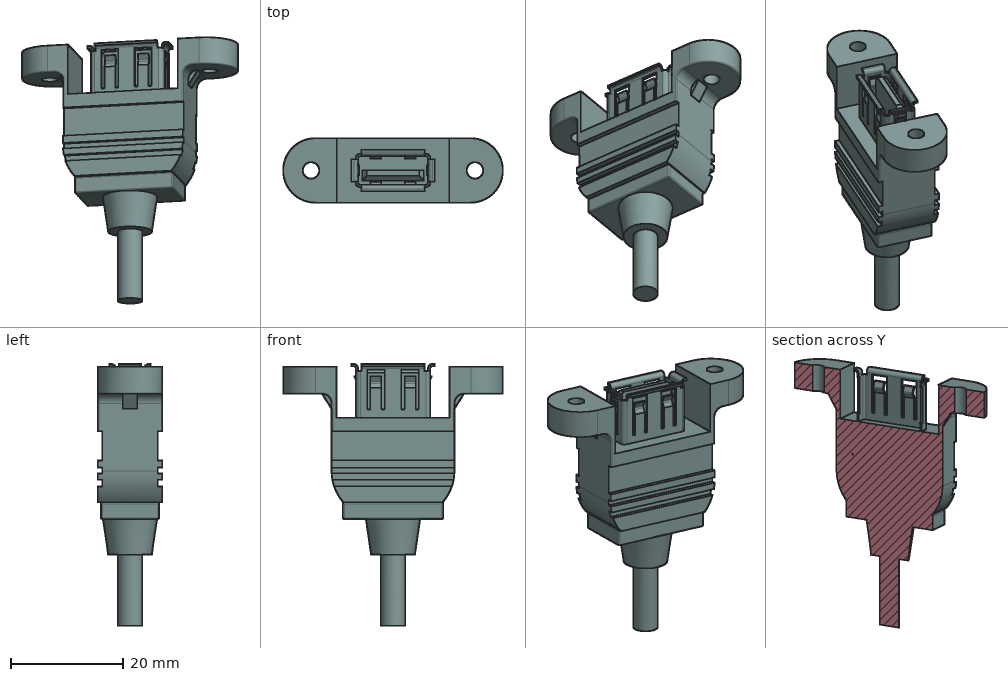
import cadquery as cq
import math


TOTAL_HEIGHT = 46.6
EAR_TOP_Z = 46.1
EAR_BOTTOM_Z = 41.25
SADDLE_Z = 37.05
BRACKET_BOTTOM_Z = 34.6
TAPER_START_Z = 27.58
BODY_BOTTOM_Z = 22.0
BLOCK_BOTTOM_Z = 19.0
BOOT_BOTTOM_Z = 12.65

OVERALL_LENGTH = 39.15
DEPTH = 11.5
NECK_HALF_WIDTH = 10.95
SADDLE_HALF_WIDTH = 10.0
NECK_FILLET = 1.7
EDGE_ROUND = 0.2
MOUNT_HOLE_X = 14.6
MOUNT_HOLE_DIAMETER = 2.9
GUSSET_WIDTH = 2.55
GUSSET_DROP = 2.65

WAIST_DEPTH = 9.9
BODY_END_HALF_WIDTH = 8.85
GRIP_RIBS = [(28.15, 29.45), (25.95, 27.1), (BODY_BOTTOM_Z, 24.85)]
BLOCK_WIDTH = 17.9
BLOCK_DEPTH = 10.35
BLOCK_ROUND = 0.25
BOOT_TOP_RADIUS = 4.85
BOOT_BOTTOM_RADIUS = 3.9
CABLE_RADIUS = 2.2

SHELL_LENGTH = 13.28
SHELL_DEPTH = 5.9
SHELL_WALL = 0.4
SHELL_CORNER = 0.8
SHELL_TOP_Z = 45.35
LIP_BEND = 0.75
LIP_FLAT = 0.4
LONG_LIP_WIDTH = 11.25
SHORT_LIP_WIDTH = 4.0

SLOT_BOTTOM_Z = 38.45
WINDOW_TOP_Z = 45.5
SIDE_WINDOW_TOP_Z = 45.2
SPRING_BEND_Z = 42.35
SPRING_APEX_Z = 43.3
SPRING_TIP_Z = 44.45
SPRING_KINK_ROUND = 0.4
LONG_SPRING_X = 3.05
LONG_SPRING_WIDTH = 1.95
LONG_SPRING_IN = 0.55
LONG_SPRING_OUT = 0.0
LONG_SLOT = 0.55
SHORT_SPRING_WIDTH = 1.75
SHORT_SPRING_IN = 0.25
SHORT_SPRING_OUT = 0.3
SHORT_SLOT = 0.3

TONGUE_LENGTH = 10.9
TONGUE_BACK_Y = 0.05
TONGUE_DEPTH = 1.9
TONGUE_TOP_Z = 45.85
TONGUE_END_BEVEL = 0.8
TONGUE_FRONT_BEVEL = 0.95
TONGUE_BEVEL_HEIGHT = 0.85


def box(length, depth, bottom, top, x=0.0, y=0.0):
    """Upright box centred on (x, y) between two heights."""
    return (
        cq.Workplane("XY")
        .box(length, depth, top - bottom, centered=(True, True, False))
        .translate((x, y, bottom))
    )


def along_y(outline, width):
    """Extrude an XZ outline symmetrically about Y = 0."""
    return outline.extrude(width / 2, both=True)


def make_bracket():
    past_ear = OVERALL_LENGTH
    arc_x = NECK_HALF_WIDTH + NECK_FILLET
    arc_z = EAR_BOTTOM_Z - NECK_FILLET
    arc_mid = NECK_FILLET * math.sqrt(0.5)
    half = along_y(
        cq.Workplane("XZ")
        .moveTo(0, BRACKET_BOTTOM_Z)
        .lineTo(NECK_HALF_WIDTH, BRACKET_BOTTOM_Z)
        .lineTo(NECK_HALF_WIDTH, arc_z)
        .threePointArc((arc_x - arc_mid, arc_z + arc_mid), (arc_x, EAR_BOTTOM_Z))
        .lineTo(past_ear, EAR_BOTTOM_Z)
        .lineTo(past_ear, EAR_TOP_Z)
        .lineTo(SADDLE_HALF_WIDTH, EAR_TOP_Z)
        .lineTo(SADDLE_HALF_WIDTH, SADDLE_Z)
        .lineTo(0, SADDLE_Z)
        .close(),
        DEPTH,
    )
    plan = (
        cq.Workplane("XY", origin=(0, 0, BRACKET_BOTTOM_Z))
        .slot2D(OVERALL_LENGTH, DEPTH)
        .extrude(EAR_TOP_Z - BRACKET_BOTTOM_Z)
    )
    half = half.intersect(plan)

    rim_zone = cq.selectors.BoxSelector(
        (NECK_HALF_WIDTH - EDGE_ROUND, -DEPTH, BRACKET_BOTTOM_Z + EDGE_ROUND),
        (OVERALL_LENGTH, DEPTH, EAR_BOTTOM_Z + EDGE_ROUND),
    )
    half = half.edges(rim_zone - cq.selectors.ParallelDirSelector(cq.Vector(0, 1, 0))).fillet(EDGE_ROUND)

    gusset = along_y(
        cq.Workplane("XZ").polyline([
            (SADDLE_HALF_WIDTH, EAR_BOTTOM_Z),
            (arc_x, EAR_BOTTOM_Z),
            (NECK_HALF_WIDTH, EAR_BOTTOM_Z - GUSSET_DROP),
            (SADDLE_HALF_WIDTH, EAR_BOTTOM_Z - GUSSET_DROP),
        ]).close(),
        GUSSET_WIDTH,
    )
    hole = (
        cq.Workplane("XY", origin=(MOUNT_HOLE_X, 0, BRACKET_BOTTOM_Z))
        .circle(MOUNT_HOLE_DIAMETER / 2)
        .extrude(TOTAL_HEIGHT)
    )
    half = half.union(gusset).cut(hole)
    return half.union(half.mirror("YZ"))


def make_grip_body():
    inset = NECK_HALF_WIDTH - BODY_END_HALF_WIDTH
    taper_height = TAPER_START_Z - BODY_BOTTOM_Z
    flank_radius = (inset**2 + taper_height**2) / (2 * inset)
    outline = (
        cq.Workplane("XZ")
        .moveTo(-NECK_HALF_WIDTH, BRACKET_BOTTOM_Z)
        .lineTo(NECK_HALF_WIDTH, BRACKET_BOTTOM_Z)
        .lineTo(NECK_HALF_WIDTH, TAPER_START_Z)
        .radiusArc((BODY_END_HALF_WIDTH, BODY_BOTTOM_Z), flank_radius)
        .lineTo(-BODY_END_HALF_WIDTH, BODY_BOTTOM_Z)
        .radiusArc((-NECK_HALF_WIDTH, TAPER_START_Z), flank_radius)
        .close()
    )
    full = along_y(outline, DEPTH)
    keep = box(OVERALL_LENGTH, WAIST_DEPTH, BODY_BOTTOM_Z, BRACKET_BOTTOM_Z)
    for bottom, top in GRIP_RIBS:
        keep = keep.union(box(OVERALL_LENGTH, DEPTH, bottom, top))
    return full.intersect(keep)


def make_cable_end():
    block = box(BLOCK_WIDTH, BLOCK_DEPTH, BLOCK_BOTTOM_Z, BODY_BOTTOM_Z).edges().fillet(BLOCK_ROUND)
    boot_and_cable = (
        cq.Workplane("XZ")
        .polyline([
            (0, 0),
            (CABLE_RADIUS, 0),
            (CABLE_RADIUS, BOOT_BOTTOM_Z),
            (BOOT_BOTTOM_RADIUS, BOOT_BOTTOM_Z),
            (BOOT_TOP_RADIUS, BLOCK_BOTTOM_Z),
            (0, BLOCK_BOTTOM_Z),
        ])
        .close()
        .revolve(360, (0, 0), (0, 1))
    )
    return block.union(boot_and_cable)


def make_lip(wall_x, width):
    """Flared lip on top of a wall whose outer face is at X = wall_x."""
    inner_x = wall_x - SHELL_WALL
    bend_z = TOTAL_HEIGHT - LIP_BEND
    bend_x = inner_x + LIP_BEND
    end_x = bend_x + LIP_FLAT
    return along_y(
        cq.Workplane("XZ")
        .moveTo(inner_x, SHELL_TOP_Z)
        .lineTo(inner_x, bend_z)
        .radiusArc((bend_x, TOTAL_HEIGHT), LIP_BEND)
        .lineTo(end_x, TOTAL_HEIGHT)
        .lineTo(end_x, TOTAL_HEIGHT - SHELL_WALL)
        .lineTo(bend_x, TOTAL_HEIGHT - SHELL_WALL)
        .radiusArc((wall_x, bend_z), -(LIP_BEND - SHELL_WALL))
        .lineTo(wall_x, SHELL_TOP_Z)
        .close(),
        width,
    )


def make_spring(wall_x, width, inward, outward):
    """Kinked spring leaf in a wall whose outer face is at X = wall_x."""
    outer_face = [
        (wall_x, SLOT_BOTTOM_Z),
        (wall_x, SPRING_BEND_Z),
        (wall_x - inward, SPRING_APEX_Z),
        (wall_x + outward, SPRING_TIP_Z),
    ]
    inner_face = [(x - SHELL_WALL, z) for x, z in reversed(outer_face)]
    leaf = along_y(cq.Workplane("XZ").polyline(outer_face + inner_face).close(), width)
    kink_zone = cq.selectors.BoxSelector(
        (0, -width, SPRING_APEX_Z - SPRING_KINK_ROUND),
        (SHELL_LENGTH, width, SPRING_APEX_Z + SPRING_KINK_ROUND),
    )
    along_width = cq.selectors.ParallelDirSelector(cq.Vector(0, 1, 0))
    return leaf.edges(kink_zone & along_width).fillet(SPRING_KINK_ROUND)


def make_window(wall_x, width, slot, top):
    """Cutter for the opening above a spring leaf and the round-ended slots beside it."""
    cut_depth = 3 * SHELL_WALL
    cut_x = wall_x - SHELL_WALL / 2
    window = box(cut_depth, width + 2 * slot, SPRING_BEND_Z, top, x=cut_x)
    for side in (-1, 1):
        leg = box(cut_depth, slot, SLOT_BOTTOM_Z + slot / 2, SPRING_BEND_Z)
        round_end = (
            cq.Workplane("YZ", origin=(0, 0, SLOT_BOTTOM_Z + slot / 2))
            .circle(slot / 2)
            .extrude(cut_depth / 2, both=True)
        )
        window = window.union(leg.union(round_end).translate((cut_x, side * (width + slot) / 2, 0)))
    return window


def on_four_walls(shape_long, shape_short):
    """Place wall features, made facing +X, on the long (Y) and short (X) walls."""
    origin, axis = (0, 0, 0), (0, 0, 1)
    placed = [shape_long.rotate(origin, axis, angle) for angle in (90, -90)]
    placed += [shape_short, shape_short.rotate(origin, axis, 180)]
    return placed


def make_spring_pair(feature):
    """Copy a long-wall feature to both spring positions along the wall."""
    return feature.translate((0, LONG_SPRING_X, 0)).union(feature.translate((0, -LONG_SPRING_X, 0)))


def make_shell():
    long_wall = SHELL_DEPTH / 2
    short_wall = SHELL_LENGTH / 2
    shell = box(SHELL_LENGTH, SHELL_DEPTH, SADDLE_Z, SHELL_TOP_Z).edges("|Z").fillet(SHELL_CORNER)
    cavity = box(
        SHELL_LENGTH - 2 * SHELL_WALL, SHELL_DEPTH - 2 * SHELL_WALL, SADDLE_Z, SHELL_TOP_Z
    ).edges("|Z").fillet(SHELL_CORNER - SHELL_WALL)
    shell = shell.cut(cavity)

    lips = on_four_walls(
        make_lip(long_wall, LONG_LIP_WIDTH),
        make_lip(short_wall, SHORT_LIP_WIDTH),
    )
    for lip in lips:
        shell = shell.union(lip)

    windows = on_four_walls(
        make_spring_pair(make_window(long_wall, LONG_SPRING_WIDTH, LONG_SLOT, WINDOW_TOP_Z)),
        make_window(short_wall, SHORT_SPRING_WIDTH, SHORT_SLOT, SIDE_WINDOW_TOP_Z),
    )
    for window in windows:
        shell = shell.cut(window)

    springs = on_four_walls(
        make_spring_pair(
            make_spring(long_wall, LONG_SPRING_WIDTH, LONG_SPRING_IN, LONG_SPRING_OUT)
        ),
        make_spring(short_wall, SHORT_SPRING_WIDTH, SHORT_SPRING_IN, SHORT_SPRING_OUT),
    )
    for spring in springs:
        shell = shell.union(spring)
    return shell


def make_tongue():
    center_y = TONGUE_BACK_Y - TONGUE_DEPTH / 2
    bevel_z = TONGUE_TOP_Z - TONGUE_BEVEL_HEIGHT
    tip_depth = TONGUE_DEPTH - TONGUE_FRONT_BEVEL
    base = box(TONGUE_LENGTH, TONGUE_DEPTH, SADDLE_Z, bevel_z, y=center_y)
    tip = (
        cq.Workplane("XY", origin=(0, center_y, bevel_z))
        .rect(TONGUE_LENGTH, TONGUE_DEPTH)
        .workplane(offset=TONGUE_BEVEL_HEIGHT)
        .center(0, TONGUE_FRONT_BEVEL / 2)
        .rect(TONGUE_LENGTH - 2 * TONGUE_END_BEVEL, tip_depth)
        .loft(ruled=True)
    )
    return base.union(tip)


result = (
    make_bracket()
    .union(make_grip_body())
    .union(make_cable_end())
    .union(make_shell())
    .union(make_tongue())
)